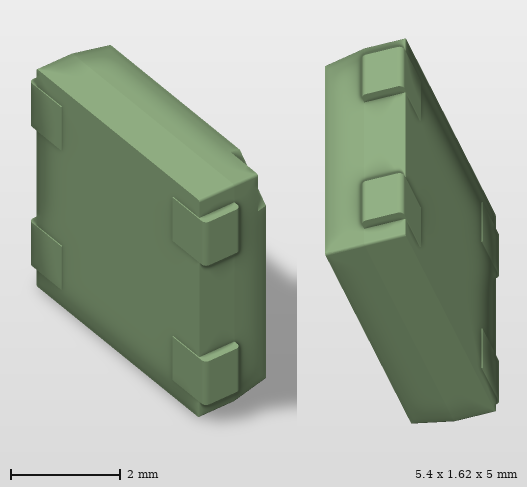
import cadquery as cq

TOTAL_LENGTH = 5.4
TOTAL_DEPTH = 1.62
BODY_SIZE = 5.0

CAP_DEPTH = 0.8
CAP_INSET = 0.1
CORNER_RADIUS = 0.05

TERMINAL_SIZE = 1.0
TERMINAL_PITCH = 3.2
TERMINAL_PROUD = 0.02
TERMINAL_RADIUS = 0.1

MARK_LEG = 0.8
MARK_DEPTH = 0.2

SEAM_Y = TOTAL_DEPTH - CAP_DEPTH
BACK_SIZE = BODY_SIZE - 2 * CAP_INSET


def xz_plane(y):
    """Work plane at depth y whose local axes are X and Z; its normal points to -Y."""
    return cq.Workplane("XZ", origin=(0, y, 0))


def make_terminal(side, z):
    """Rounded terminal block on the -X (side = -1) or +X (side = 1) end, centred at z."""
    outer_x = side * TOTAL_LENGTH / 2
    block = (
        cq.Workplane("XY")
        .box(TERMINAL_SIZE, SEAM_Y, TERMINAL_SIZE)
        .translate((outer_x - side * TERMINAL_SIZE / 2, SEAM_Y / 2, z))
    )
    outer_face = ">X" if side > 0 else "<X"
    return block.faces(outer_face).edges("|Z").fillet(TERMINAL_RADIUS)


def make_base():
    """Straight-sided base with its four terminals."""
    base_depth = SEAM_Y - TERMINAL_PROUD
    base = (
        xz_plane(SEAM_Y)
        .rect(BODY_SIZE, BODY_SIZE)
        .extrude(base_depth)
        .edges("|Y")
        .fillet(CORNER_RADIUS)
    )
    for side in (-1, 1):
        for z in (-TERMINAL_PITCH / 2, TERMINAL_PITCH / 2):
            base = base.union(make_terminal(side, z))
    return base


def make_cap():
    """Tapered cap behind the base, with a triangular mark sunk in one back corner."""
    cap = (
        xz_plane(TOTAL_DEPTH)
        .rect(BACK_SIZE, BACK_SIZE)
        .workplane(offset=CAP_DEPTH)
        .rect(BODY_SIZE, BODY_SIZE)
        .loft(ruled=True)
        .edges("not (|X or |Z)")
        .fillet(CORNER_RADIUS)
    )
    edge = BODY_SIZE / 2
    start = BACK_SIZE - MARK_LEG - edge
    mark = (
        xz_plane(TOTAL_DEPTH)
        .polyline([(edge, edge), (start, edge), (edge, start)])
        .close()
        .extrude(MARK_DEPTH)
    )
    return cap.cut(mark)


base = make_base()
cap = make_cap()

result = cq.Compound.makeCompound([base.solids().val(), cap.solids().val()])